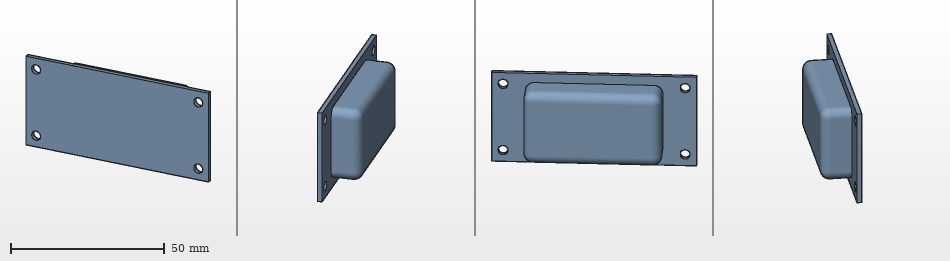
import cadquery as cq

plate_length = 67.0
plate_height = 31.5
plate_thickness = 1.6

housing_length = 45.0
housing_height = 25.0
housing_depth = 10.0
housing_radius = 3.0

hole_diameter = 3.2
hole_spacing_x = 59.5
hole_spacing_z = 23.5


def centred_block(length, depth, height, front_y):
    """Block centred in X and Z, extending towards +Y from front_y."""
    block = cq.Workplane("XY").box(length, depth, height, centered=(True, False, True))
    return block.translate((0, front_y, 0))


def make_plate():
    """Flat plate with a through hole near each corner."""
    plate = centred_block(plate_length, plate_thickness, plate_height, 0)
    return (
        plate.faces("<Y")
        .workplane(origin=(0, 0, 0))
        .rect(hole_spacing_x, hole_spacing_z, forConstruction=True)
        .vertices()
        .hole(hole_diameter)
    )


def make_housing():
    """Solid block with its side corners and rear rim rounded alike."""
    housing = centred_block(housing_length, housing_depth, housing_height, plate_thickness)
    return housing.edges("|Y or >Y").fillet(housing_radius)


result = make_plate().union(make_housing())